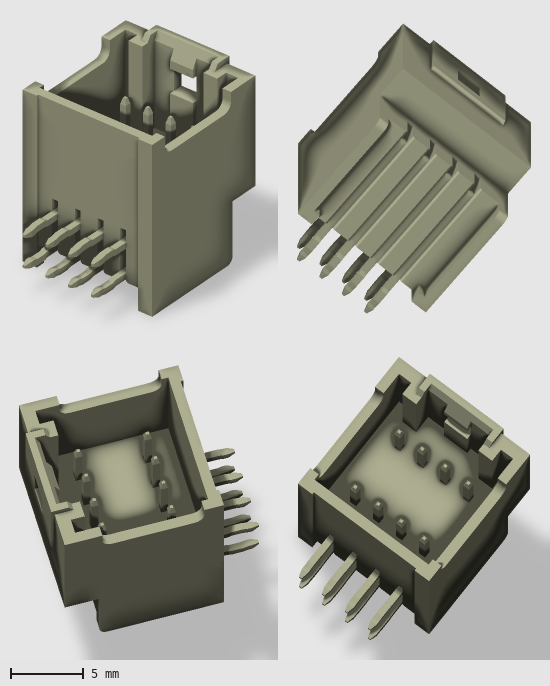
import cadquery as cq
import math


width = 11.4
depth = 11.4
shell_top = 14.0
step_depth = 2.5
step_height = 5.0
lower_rear = depth - step_depth
leg_corner_radius = 0.6

leg_width = 1.25
span = width - 2 * leg_width
front_recess = 0.18
flange_depth = 0.8
underside = 1.75

side_wall = 0.75
front_wall = 0.92
rear_wall = 0.95
cavity_floor = 6.7
cavity_width = width - 2 * side_wall

notch_front = 1.4
notch_rear = 8.7
notch_depth = 1.5
notch_radius = 0.75

latch_width = 6.4
latch_wall = 0.5
latch_overhang = 0.25
latch_rear = depth + latch_overhang
latch_top = 14.5
latch_bottom = 9.05
latch_bottom_bevel = 0.36
cheek_front = 10.05
cheek_bevel = 0.35
channel_width = latch_width - 2 * latch_wall
channel_rear = 10.8
rail_front = 9.45
rail_outer = 3.9

catch_width = 2.0
catch_front = 10.4
catch_slope = 1.9
window_top = 12.4
window_bottom = 10.4

columns = 4
pitch = 2.0
pin_size = 0.5
pin_top = 10.5
taper_length = 0.5
tip_size = 0.22
tail_reach = 3.25
front_row = (2.98, 4.75)
rear_row = (7.94, 2.25)
kink_offset = 0.1
kink_ends = (0.95, 1.25, 2.04, 2.46)

slot_top = 6.0
through_slot_top = 4.1
slot_mouth_chamfer = 0.15

column_places = [(i - (columns - 1) / 2) * pitch for i in range(columns)]


def block(x_size, y_range, z_range):
    """Box centred on the mid plane between two Y and two Z values."""
    y0, y1 = y_range
    z0, z1 = z_range
    return cq.Workplane("XY").box(x_size, y1 - y0, z1 - z0, centered=(True, False, False)).translate((0, y0, z0))


def side_profile(points, x_size):
    """Prism centred on the mid plane from an outline of (Y, Z) points."""
    return cq.Workplane("YZ").polyline(points).close().extrude(x_size / 2, both=True)


def pin_tip():
    """Square taper that starts at the origin and points to +Z."""
    taper = math.degrees(math.atan((pin_size - tip_size) / 2 / taper_length))
    return cq.Workplane("XY").rect(pin_size, pin_size).extrude(taper_length, taper=taper)


def make_pin(upright_y, tail_z, kink):
    """Right-angle pin on the mid plane whose tail has a shallow kink."""
    half = pin_size / 2
    tail_end = taper_length - tail_reach
    upright_end = pin_top - taper_length
    kink_shifts = (0, kink, kink, 0)
    tail_line = [(-d, tail_z + shift) for d, shift in zip(kink_ends, kink_shifts)]
    tail_line.append((tail_end, tail_z))

    upper_edge = [(y, z + half) for y, z in tail_line]
    lower_edge = [(y, z - half) for y, z in reversed(tail_line)]
    upright = [
        (upright_y + half, tail_z - half),
        (upright_y + half, upright_end),
        (upright_y - half, upright_end),
        (upright_y - half, tail_z + half),
    ]
    shaft = side_profile(upright + upper_edge + lower_edge, pin_size)
    top_tip = pin_tip().translate((0, upright_y, upright_end))
    tail_tip = pin_tip().rotate((0, 0, 0), (1, 0, 0), 90).translate((0, tail_end, tail_z))
    return shaft.union(top_tip).union(tail_tip)


front_pin = make_pin(*front_row, kink_offset)
rear_pin = make_pin(*rear_row, -kink_offset)
pins = []
for x in column_places:
    pins.append(front_pin.translate((x, 0, 0)))
    pins.append(rear_pin.translate((x, 0, 0)))


def shell():
    """Outer block with the rear step, and flanged legs left by the cuts between them."""
    outline = [
        (0, 0), (lower_rear, 0), (lower_rear, step_height),
        (depth, step_height), (depth, shell_top), (0, shell_top),
    ]
    body = side_profile(outline, width)
    body = body.edges(cq.NearestToPointSelector((0, lower_rear, 0))).fillet(leg_corner_radius)
    body = body.cut(block(span, (0, front_recess), (0, shell_top)))
    body = body.cut(block(span, (0, depth), (0, underside)))
    return body.cut(block(cavity_width, (flange_depth, depth), (0, underside)))


def latch_hood():
    """Raised block on the rear wall with bevelled front top and rear bottom edges."""
    outline = [
        (cheek_front, latch_bottom),
        (depth, latch_bottom),
        (latch_rear, latch_bottom + latch_bottom_bevel),
        (latch_rear, latch_top),
        (cheek_front + cheek_bevel, latch_top),
        (cheek_front, shell_top),
    ]
    return side_profile(outline, latch_width)


def cavity():
    """Main pocket less the two guide rails and plus the latch channel between them."""
    pocket = block(cavity_width, (front_wall, depth - rear_wall), (cavity_floor, shell_top))
    rails = block(2 * rail_outer, (rail_front, depth), (cavity_floor, shell_top))
    channel = block(channel_width, (rail_front, channel_rear), (cavity_floor, latch_top))
    return pocket.cut(rails).union(channel)


def catch():
    """Tooth and lower block that stand out from the channel's rear wall."""
    tooth = block(catch_width, (catch_front, channel_rear), (window_top, latch_top))
    lower_block = block(catch_width, (catch_front, channel_rear), (cavity_floor, window_bottom))
    return tooth.union(lower_block)


def lead_in():
    """Wedge removed from the hood and the tooth to form one sloping face."""
    slope_rear = latch_rear - latch_wall
    slope_drop = (slope_rear - catch_front) * catch_slope
    outline = [(slope_rear, latch_top), (catch_front, latch_top), (catch_front, latch_top - slope_drop)]
    return side_profile(outline, channel_width)


def side_notch():
    """Round-cornered notch across the tops of both side walls."""
    notch = block(width, (notch_front, notch_rear), (shell_top - notch_depth, shell_top))
    return notch.edges("|X and <Z").fillet(notch_radius)


def pin_slot():
    """Stepped slot for one column of pins, with a chamfered mouth along the underside."""
    front_slot = block(pin_size, (0, front_row[0] + pin_size / 2), (underside, slot_top))
    through_slot = block(pin_size, (0, lower_rear), (underside, through_slot_top))
    half = pin_size / 2
    mouth_half = half + slot_mouth_chamfer
    mouth_outline = [
        (-mouth_half, underside), (mouth_half, underside),
        (half, underside + slot_mouth_chamfer), (-half, underside + slot_mouth_chamfer),
    ]
    mouth = cq.Workplane("XZ").polyline(mouth_outline).close().extrude(-lower_rear)
    return front_slot.union(through_slot).union(mouth)


def make_housing():
    body = shell().union(latch_hood()).cut(cavity()).union(catch()).cut(lead_in())
    body = body.cut(block(catch_width, (catch_front, latch_rear), (window_bottom, window_top)))
    body = body.cut(side_notch())
    for x in column_places:
        body = body.cut(pin_slot().translate((x, 0, 0)))
    for pin in pins:
        body = body.cut(pin)
    return body


housing = make_housing()
result = cq.Compound.makeCompound([housing.solids().val(), *[pin.solids().val() for pin in pins]])